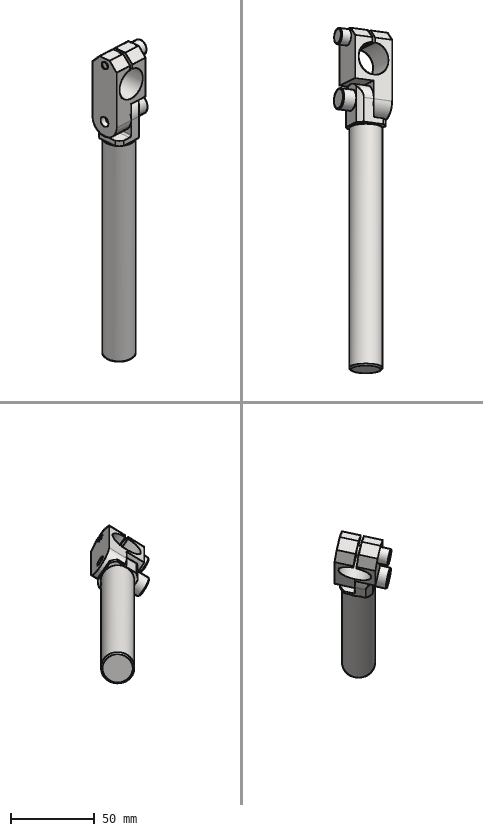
import cadquery as cq

width = 20.0
half_width = width / 2
total_height = 209.0

clamp_depth = 25.0
clamp_front = -clamp_depth / 2
clamp_back = clamp_depth / 2
clamp_shoulder_z = 176.5
clamp_top_chamfer = 5.9
bore_diameter = 20.0
bore_z = 190.2
slot_width = 1.9

pivot_z = 165.3
foot_top_z = 153.8
rod_top_z = 150.3
knuckle_round_diameter = 24.0
foot_fillet = 1.3

rod_edge_chamfer = 1.0

clamp_screw_z = 204.0
clamp_head_diameter = 10.0
clamp_head_height = 6.7
clamp_shank_diameter = 6.0
clamp_thread_diameter = 4.8
clamp_thread_start = -3.1
clamp_tip_recess = 0.6

pivot_head_diameter = 13.0
pivot_head_height = 8.5
pivot_shank_diameter = 8.0
pivot_thread_diameter = 6.5
pivot_tip_recess = 4.2

head_edge_chamfer = 0.6


def cylinder_along_y(diameter, z, y_start, y_end):
    """Cylinder on x = 0 at height z, from y_start up to y_end."""
    circle = cq.Workplane("XZ", origin=(0, y_start, z)).circle(diameter / 2)
    return circle.extrude(y_start - y_end)


def block(y_start, y_end, z_bottom, z_top):
    """Box of the common width, centred on x = 0."""
    outline = cq.Workplane("XY", origin=(0, (y_start + y_end) / 2, z_bottom))
    return outline.rect(width, y_end - y_start).extrude(z_top - z_bottom)


def stepped_shank(shank_diameter, thread_diameter, z, y_tip, y_step, y_head):
    """Thread from y_tip to y_step, then the wider shank up to y_head."""
    thread = cylinder_along_y(thread_diameter, z, y_tip, y_step)
    return thread.union(cylinder_along_y(shank_diameter, z, y_step, y_head))


def screw_head(diameter, height, z, y_seat):
    head = cylinder_along_y(diameter, z, y_seat, y_seat + height)
    return head.faces(">Y").edges().chamfer(head_edge_chamfer)


def make_rod():
    rod = cq.Workplane("XY").circle(half_width).extrude(rod_top_z)
    return rod.faces("<Z or >Z").edges().chamfer(rod_edge_chamfer)


def make_knuckle():
    upright = block(0, half_width, rod_top_z, pivot_z)
    upright = upright.union(cylinder_along_y(width, pivot_z, 0, half_width))
    foot = block(-half_width, half_width, rod_top_z, foot_top_z)
    knuckle = upright.union(foot)
    inner_corner = cq.selectors.NearestToPointSelector((0, 0, foot_top_z))
    knuckle = knuckle.edges("|X").edges(inner_corner).fillet(foot_fillet)
    turned = cq.Workplane("XY", origin=(0, 0, rod_top_z)).circle(knuckle_round_diameter / 2)
    knuckle = knuckle.intersect(turned.extrude(total_height - rod_top_z))
    return knuckle.cut(cylinder_along_y(pivot_shank_diameter, pivot_z, 0, half_width))


def make_clamp():
    clamp = block(clamp_front, clamp_back, clamp_shoulder_z, total_height)
    clamp = clamp.faces(">Z").edges("|Y").chamfer(clamp_top_chamfer)
    clamp = clamp.union(block(clamp_front, 0, pivot_z, clamp_shoulder_z))
    clamp = clamp.union(cylinder_along_y(width, pivot_z, clamp_front, 0))

    bore = cq.Workplane("YZ", origin=(-half_width, 0, bore_z)).circle(bore_diameter / 2)
    slot = block(-slot_width / 2, slot_width / 2, bore_z, total_height)
    clamp = clamp.cut(bore.extrude(width)).cut(slot)

    clamp_hole = stepped_shank(clamp_shank_diameter, clamp_thread_diameter, clamp_screw_z,
                               clamp_front, clamp_thread_start, clamp_back)
    pivot_hole = cylinder_along_y(pivot_thread_diameter, pivot_z, clamp_front, 0)
    return clamp.cut(clamp_hole).cut(pivot_hole)


def make_clamp_screw():
    shank = stepped_shank(clamp_shank_diameter, clamp_thread_diameter, clamp_screw_z,
                          clamp_front + clamp_tip_recess, clamp_thread_start, clamp_back)
    return shank.union(screw_head(clamp_head_diameter, clamp_head_height, clamp_screw_z, clamp_back))


def make_pivot_screw():
    shank = stepped_shank(pivot_shank_diameter, pivot_thread_diameter, pivot_z,
                          clamp_front + pivot_tip_recess, 0, half_width)
    return shank.union(screw_head(pivot_head_diameter, pivot_head_height, pivot_z, half_width))


rod = make_rod()
knuckle = make_knuckle()
clamp = make_clamp()
clamp_screw = make_clamp_screw()
pivot_screw = make_pivot_screw()

result = cq.Compound.makeCompound([
    rod.val(),
    knuckle.val(),
    clamp.val(),
    clamp_screw.val(),
    pivot_screw.val(),
])